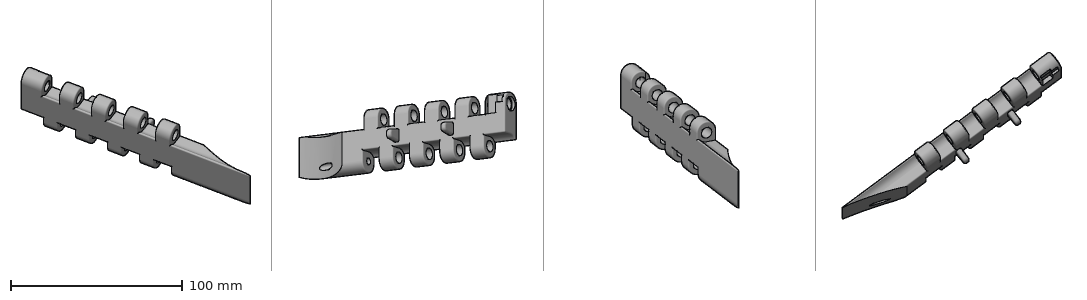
import cadquery as cq
import math

length = 152.3
thickness = 12.5
height = 37.5
edge_radius = thickness / 2
upper_axis = height - thickness
mid_height = upper_axis / 2
margin = 1.5

first_knuckle = 14.3
knuckle_span = 85.0
pitch_count = 4
pitch = knuckle_span / pitch_count
knuckle_gap = 0.5
knuckle_width = pitch / 2 - knuckle_gap
seat_play = 0.08
clearance_radius = edge_radius + seat_play
edge_fillet = 0.8

bore_inset = 0.6
upper_bore_z = upper_axis - bore_inset
lower_bore_z = bore_inset
bore_radius = 3.4
counterbore_radius = 4.3
counterbore_depth = 2.0
end_bore_radius = 2.0

ramp_start = 114.2
ramp_radius = 137.1
tip_thickness = 0.5

peg_centers = (38.1, 76.2)
peg_width = 3.7
peg_length = 8.5
peg_root_height = 7.9
peg_tip_height = 4.9
peg_tip_fillet = 2.3
peg_edge_fillet = 1.2

shallow_start = 2.1
deep_start = 6.5
relief_end = 13.7
shallow_depth = 1.5
deep_depth = 2.7

last_block_start = first_knuckle + knuckle_gap + pitch_count * pitch
block_end = length + margin
lower_starts = [first_knuckle + knuckle_gap + i * pitch for i in range(pitch_count)]
upper_starts = [start + knuckle_width + knuckle_gap for start in lower_starts]


def draw_seat(sketch, axis_z, inward, from_back):
    """Draw a seat that is flat in the back half and concave in the front half."""
    half_angle = math.asin(edge_radius / clearance_radius) / 2
    flat_z = axis_z + inward * clearance_radius
    back_corner = (edge_radius, flat_z)
    center = (0, flat_z)
    arc_middle = (
        -clearance_radius * math.sin(half_angle),
        axis_z + inward * clearance_radius * math.cos(half_angle),
    )
    front_corner = (-edge_radius, axis_z + inward * math.sqrt(clearance_radius**2 - edge_radius**2))
    if from_back:
        return sketch.lineTo(*back_corner).lineTo(*center).threePointArc(arc_middle, front_corner)
    return sketch.lineTo(*front_corner).threePointArc(arc_middle, center).lineTo(*back_corner)


def core_strip():
    """Plain strip with a seat on both edges that ties all the knuckles together."""
    start = first_knuckle / 2
    end = last_block_start + knuckle_width
    profile = cq.Workplane("YZ", origin=(start, 0, 0)).moveTo(edge_radius, mid_height)
    profile = draw_seat(profile, 0, 1, from_back=True)
    profile = draw_seat(profile, upper_axis, -1, from_back=False).close()
    strip = profile.extrude(end - start)
    return strip.edges("|X").edges("<Y or >Y").fillet(edge_fillet)


def knuckle_outline(profile):
    """Finish a section over the round top edge, from the front face to the back face."""
    profile = profile.lineTo(-edge_radius, upper_axis)
    return profile.threePointArc((0, upper_axis + edge_radius), (edge_radius, upper_axis)).close()


def knuckle(start):
    """Upper half of the bar, round at the top, with rounded end faces."""
    profile = cq.Workplane("YZ", origin=(start, 0, 0)).moveTo(edge_radius, upper_axis)
    profile = profile.lineTo(edge_radius, mid_height).lineTo(-edge_radius, mid_height)
    block = knuckle_outline(profile).extrude(knuckle_width)
    return block.faces("<X or >X").edges("not <Z").fillet(edge_fillet)


def end_block(start, end):
    """Full-height bar section: a knuckle at the top, a seat at the bottom, rounded end faces."""
    profile = cq.Workplane("YZ", origin=(start, 0, 0)).moveTo(edge_radius, upper_axis)
    profile = draw_seat(profile, 0, 1, from_back=True)
    block = knuckle_outline(profile).extrude(end - start)
    lower_half = cq.selectors.BoxSelector(
        (start - margin, -thickness, -thickness), (end + margin, thickness, mid_height)
    )
    block = block.edges(lower_half).edges("|X").edges("<Y or >Y").fillet(edge_fillet)
    return block.faces("<X or >X").edges().fillet(edge_fillet)


def flipped(block):
    """Turn a block upside down so that its knuckle is at the bottom."""
    return block.mirror("XY", (0, 0, mid_height))


def peg(center_x):
    """Flat tapered peg with rounded edges, standing on the back face."""
    root_y = edge_radius - margin
    back_y = edge_radius
    tip_y = back_y + peg_length
    root_half = peg_root_height / 2
    tip_half = peg_tip_height / 2
    outline = [
        (root_y, -root_half),
        (back_y, -root_half),
        (tip_y, -tip_half),
        (tip_y, tip_half),
        (back_y, root_half),
        (root_y, root_half),
    ]
    blank = cq.Workplane("YZ", origin=(center_x, 0, mid_height)).polyline(outline).close()
    blank = blank.extrude(peg_width / 2, both=True)
    blank = blank.faces(">Y").edges("|X").fillet(peg_tip_fillet)
    return blank.faces("<X or >X").edges().fillet(peg_edge_fillet)


def rod(radius, z, start, end):
    """Round cutter along X."""
    return cq.Workplane("YZ", origin=(start, 0, z)).circle(radius).extrude(end - start)


def ramp_cutter():
    """Concave ramp over the far end, ending in a thin edge at the front face."""
    tip_y = tip_thickness - edge_radius
    beyond_x = block_end + margin
    beyond_y = edge_radius + margin
    ramp = cq.Workplane("XY", origin=(0, 0, -height)).moveTo(ramp_start, edge_radius)
    ramp = ramp.radiusArc((length, tip_y), -ramp_radius).lineTo(length, -beyond_y)
    ramp = ramp.lineTo(beyond_x, -beyond_y).lineTo(beyond_x, beyond_y).lineTo(ramp_start, beyond_y)
    return ramp.close().extrude(3 * height)


def relief_cutter(start, depth, floor_z):
    """Pocket open to the back and the top of the first knuckle."""
    size = (relief_end - start, depth, height)
    corner = (start, edge_radius - depth, floor_z)
    return cq.Workplane("XY").box(*size, centered=False).translate(corner)


body = core_strip()
body = body.union(end_block(0, first_knuckle))
body = body.union(flipped(end_block(last_block_start, block_end)))
for start in upper_starts:
    body = body.union(knuckle(start))
for start in lower_starts:
    body = body.union(flipped(knuckle(start)))
body = body.cut(ramp_cutter())

upper_end = upper_starts[-1] + knuckle_width
body = body.cut(rod(bore_radius, upper_bore_z, 0, upper_end))
body = body.cut(rod(counterbore_radius, upper_bore_z, 0, counterbore_depth))
body = body.cut(rod(bore_radius, lower_bore_z, 0, last_block_start))
body = body.cut(rod(end_bore_radius, lower_bore_z, last_block_start, length))

body = body.cut(relief_cutter(shallow_start, shallow_depth, upper_axis))
body = body.cut(relief_cutter(deep_start, deep_depth, upper_axis - clearance_radius))

for center in peg_centers:
    body = body.union(peg(center))

result = body